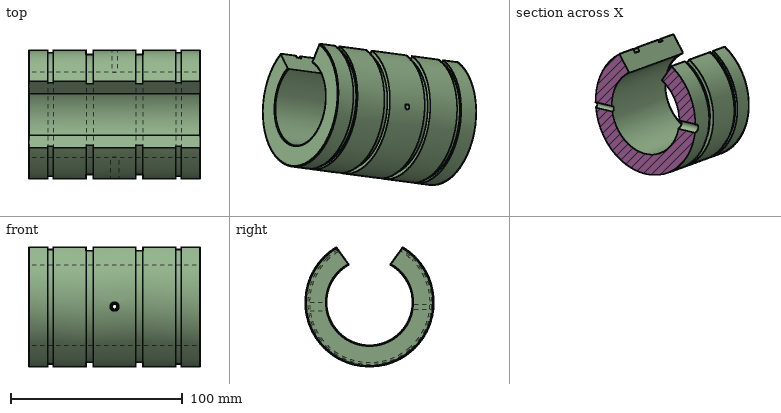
import cadquery as cq
import math

LENGTH = 100.0
OUTER_RADIUS = 37.5
BORE_RADIUS = 25.0
END_CHAMFER = 0.5

OPENING_WIDTH = 24.0
OPENING_ANGLE = 72.0

RING_GROOVE_SPAN = 77.6
RING_GROOVE_WIDTH = 3.0
RING_GROOVE_RADIUS = 36.0
WIDE_GROOVE_SPACING = 29.0
WIDE_GROOVE_WIDTH = 4.0
WIDE_GROOVE_RADIUS = 35.0

HOLE_Z = -2.5
FRONT_HOLE_DIAMETER = 5.0
REAR_HOLE_DIAMETER = 3.0

CUT_CLEARANCE = 1.0


def make_sleeve():
    body = cq.Workplane("YZ").circle(OUTER_RADIUS).circle(BORE_RADIUS).extrude(LENGTH / 2, both=True)
    return body.faces("<X or >X").edges().chamfer(END_CHAMFER)


def make_groove(center_x, width, floor_radius):
    blank = cq.Workplane("YZ").circle(OUTER_RADIUS + CUT_CLEARANCE)
    ring = blank.circle(floor_radius).extrude(width / 2, both=True)
    return ring.translate((center_x, 0, 0))


def make_opening():
    slope = math.tan(math.radians(OPENING_ANGLE / 2))
    bore_edge_z = math.sqrt(BORE_RADIUS**2 - (OPENING_WIDTH / 2) ** 2)
    apex_z = bore_edge_z - OPENING_WIDTH / 2 / slope
    top_z = OUTER_RADIUS + CUT_CLEARANCE
    half_top = (top_z - apex_z) * slope
    outline = [(0, apex_z), (half_top, top_z), (-half_top, top_z)]
    return cq.Workplane("YZ").polyline(outline).close().extrude(LENGTH, both=True)


def make_cross_hole(diameter, direction):
    """Hole from the bore out through the wall on the given side of Y."""
    drill = cq.Workplane("XZ").center(0, HOLE_Z).circle(diameter / 2)
    return drill.extrude(-direction * (OUTER_RADIUS + CUT_CLEARANCE))


result = make_sleeve()
for side in (-1, 1):
    ring_x = side * (RING_GROOVE_SPAN - RING_GROOVE_WIDTH) / 2
    wide_x = side * WIDE_GROOVE_SPACING / 2
    result = result.cut(make_groove(ring_x, RING_GROOVE_WIDTH, RING_GROOVE_RADIUS))
    result = result.cut(make_groove(wide_x, WIDE_GROOVE_WIDTH, WIDE_GROOVE_RADIUS))
result = result.cut(make_opening())
result = result.cut(make_cross_hole(FRONT_HOLE_DIAMETER, -1))
result = result.cut(make_cross_hole(REAR_HOLE_DIAMETER, 1))